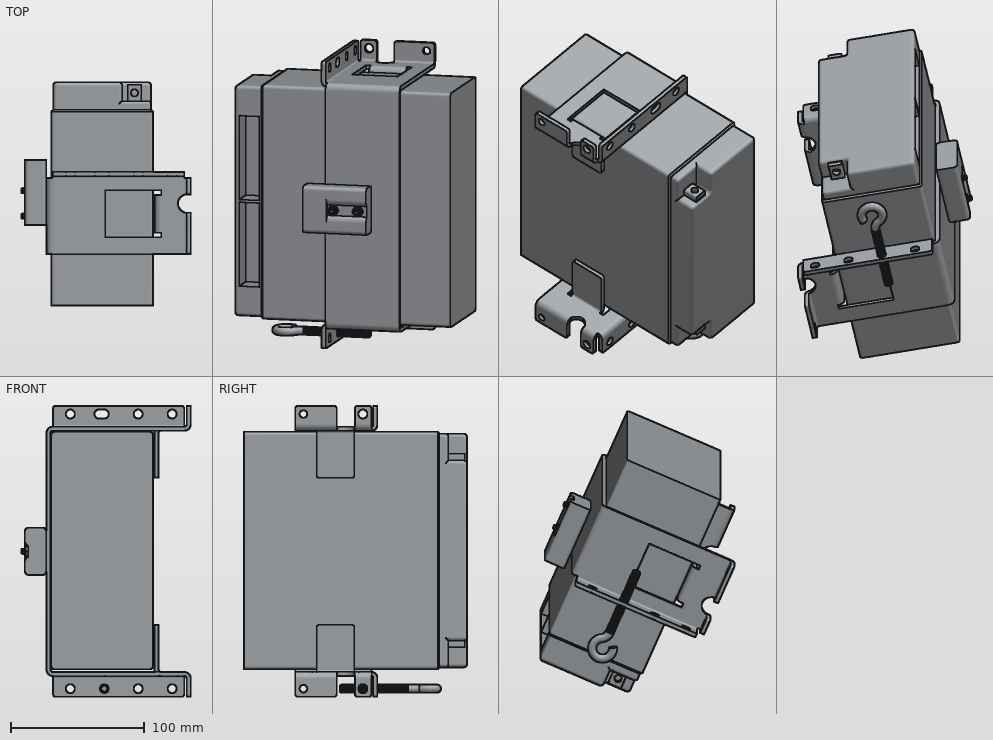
import cadquery as cq
import math


OVERALL_DEPTH = 127.0

SHEET = 3.2
BEND_RADIUS = 1.75
BEND_OUTER = BEND_RADIUS + SHEET
RAIL_BEND_RADIUS = 1.2
BRACKET_DEPTH = 108.1
BRACKET_HEIGHT = 217.74
EAR_HEIGHT = 15.5
ARM_TOP = BRACKET_HEIGHT / 2 - EAR_HEIGHT
BRACKET_WIDTH = 57.15
BRACKET_FRONT = 38.4
BRACKET_BACK = BRACKET_FRONT + BRACKET_WIDTH
EAR_CORNER = 2.0
HOLE_INSET = 6.15
EAR_HOLE_DIAMETER = 6.6
SMALL_HOLE_DIAMETER = 5.5
RAIL_HOLE_FIRST = 17.9
RAIL_HOLE_PITCH = 25.4
RAIL_HOLE_COUNT = 4
SLOTTED_HOLE = 1
SLOT_STRETCH = 4.0
NOTCH_WIDTH = 13.5
NOTCH_Y = 76.3
NOTCH_BOTTOM = 98.5
SIDE_HOLE_BACK = BRACKET_BACK - 6.5
SIDE_HOLE_FRONT = BRACKET_FRONT + 6.2
WINDOW_LEFT = 44.0
WINDOW_RIGHT = 85.75
WINDOW_WIDTH = 35.0
WINDOW_Y = 68.6
TONGUE_WIDTH = 28.4
TONGUE_DROP = 38.4

CASE_WIDTH = 76.2
CASE_HEIGHT = 177.8
CASE_LENGTH = 146.4
CASE_LEFT = 3.6
CASE_MIDDLE_Z = 0.6
CASE_MIDDLE_X = CASE_LEFT + CASE_WIDTH / 2
BATTERY_LENGTH = 167.13
CASE_RADIUS = 2.5
CASE_BACK_CHAMFER = 1.4
LID_INSET = 1.4
LID_RADIUS = 2.7
LID_WIDTH = CASE_WIDTH - 2 * LID_INSET
LID_HEIGHT = CASE_HEIGHT - 2 * LID_INSET
LID_RIGHT = CASE_MIDDLE_X + LID_WIDTH / 2
LID_LEFT = CASE_MIDDLE_X - LID_WIDTH / 2
POCKET_Y = 155.8
POCKET_WIDTH = 15.3
POCKET_SPAN = 129.5
POCKET_WEB = 2.0
POCKET_HEIGHT = (POCKET_SPAN - POCKET_WEB) / 2
POCKET_DEPTH = 20.0
RECESS_LEFT = 56.7
RECESS_FRONT = 153.0
RECESS_DEPTH = 20.0
RECESS_LIP_RADIUS = 2.35
TERMINAL_X = 65.9
TERMINAL_WIDTH = 10.4
TERMINAL_LENGTH = 12.2
TERMINAL_HEIGHT = 5.0
TERMINAL_RADIUS = 1.5
TERMINAL_HOLE_DIAMETER = 5.4

BLOCK_DEPTH = 16.2
BLOCK_HEIGHT = 35.5
BLOCK_FRONT = 60.1
BLOCK_LENGTH = 48.8
BLOCK_RADIUS = 3.0
GROOVE_LENGTH = 30.5
GROOVE_DEPTH = 2.7
GROOVE_FLOOR = 8.0
GROOVE_MOUTH = 16.8

THREAD_DEPTH_PER_PITCH = 0.6
STUD_DIAMETER = 4.0
STUD_PITCH = 0.7
STUD_EMBEDDED = 6.0
STUD_TIP_X = BRACKET_DEPTH - OVERALL_DEPTH
STUD_FIRST_Y = 66.9
STUD_SPACING = 19.05
STUD_COUNT = 2
STUD_YS = [STUD_FIRST_Y + i * STUD_SPACING for i in range(STUD_COUNT)]
NUT_FLATS = 7.0
NUT_HEIGHT = 2.2
NUT_FACE_DIAMETER = 6.4
NUT_CORNERS = NUT_FLATS / math.cos(math.pi / 6)
GROOVE_FLOOR_X = GROOVE_DEPTH - BLOCK_DEPTH

BOLT_DIAMETER = 6.35
BOLT_PITCH = 1.0
BOLT_FRONT = 71.9
THREAD_END = 123.1
EYE_RADIUS = 7.8
NECK_TURN = math.radians(60)
EYE_CENTRE_Y = THREAD_END + 2 * EYE_RADIUS * math.sin(NECK_TURN)
BOLT_X = RAIL_HOLE_FIRST + SLOTTED_HOLE * RAIL_HOLE_PITCH
BOLT_Z = HOLE_INSET - BRACKET_HEIGHT / 2
EYE_END_ANGLE = math.radians(-30)


def box(x0, x1, y0, y1, z0, z1):
    return cq.Workplane("XY").box(x1 - x0, y1 - y0, z1 - z0, centered=False).translate((x0, y0, z0))


def bent_strip(origin, outward, sideways, width, reach, corner_radius=0.0, inner=BEND_RADIUS):
    """A bend followed by a flat strip.

    The bend starts on the sheet's inner face at `origin`, heads `outward` and turns a right angle.
    The strip ends `reach` away from that face; `sideways` is the direction of its width.
    """
    mid = math.sqrt(0.5)
    outer = inner + SHEET
    profile = (
        cq.Workplane("XY")
        .moveTo(0, 0)
        .threePointArc((inner * mid, inner * (1 - mid)), (inner, inner))
        .lineTo(inner, reach)
        .lineTo(outer, reach)
        .lineTo(outer, inner)
        .threePointArc((outer * mid, inner - outer * mid), (0, -SHEET))
        .close()
    )
    strip = profile.extrude(width)
    if corner_radius:
        strip = strip.faces(">Y").edges("|X").fillet(corner_radius)
    place = cq.Location(cq.Plane(origin=origin, xDir=outward, normal=sideways))
    return cq.Workplane(strip.val().moved(place))


def bracket_half():
    """The upper half: one arm with its ears and tongue, and half of the base."""
    flat_end = BRACKET_DEPTH - BEND_OUTER
    hole_z = BRACKET_HEIGHT / 2 - HOLE_INSET
    arm_inner = ARM_TOP - SHEET

    arm = box(BEND_OUTER, flat_end, BRACKET_FRONT, BRACKET_BACK, arm_inner, ARM_TOP)
    arm = arm.cut(
        box(WINDOW_LEFT, WINDOW_RIGHT, WINDOW_Y - WINDOW_WIDTH / 2, WINDOW_Y + WINDOW_WIDTH / 2,
            arm_inner, ARM_TOP)
    )
    base = bent_strip((BEND_OUTER, BRACKET_BACK, arm_inner), (-1, 0, 0), (0, -1, 0),
                      BRACKET_WIDTH, arm_inner)
    tongue = bent_strip((WINDOW_RIGHT, WINDOW_Y + TONGUE_WIDTH / 2, arm_inner), (-1, 0, 0), (0, -1, 0),
                        TONGUE_WIDTH, TONGUE_DROP - SHEET, EAR_CORNER)
    rail_ear = bent_strip((BEND_OUTER, BRACKET_BACK, ARM_TOP), (0, 1, 0), (1, 0, 0),
                          flat_end - BEND_OUTER, EAR_HEIGHT, EAR_CORNER, RAIL_BEND_RADIUS)
    half = arm.union(base).union(tongue).union(rail_ear)

    notch_back = NOTCH_Y + NOTCH_WIDTH / 2
    notch_front = NOTCH_Y - NOTCH_WIDTH / 2
    side_ears = [
        (BRACKET_BACK, notch_back, SIDE_HOLE_BACK, EAR_HOLE_DIAMETER),
        (notch_front, BRACKET_FRONT, SIDE_HOLE_FRONT, SMALL_HOLE_DIAMETER),
    ]
    for back, front, hole_y, diameter in side_ears:
        ear = bent_strip((flat_end, back, ARM_TOP), (1, 0, 0), (0, -1, 0),
                         back - front, EAR_HEIGHT, EAR_CORNER)
        hole = (
            cq.Workplane("YZ", origin=(flat_end, hole_y, hole_z))
            .circle(diameter / 2)
            .extrude(BEND_OUTER)
        )
        half = half.union(ear.cut(hole))

    notch_centre = NOTCH_BOTTOM + NOTCH_WIDTH / 2
    notch = (
        cq.Workplane("XY", origin=(notch_centre, NOTCH_Y, arm_inner))
        .circle(NOTCH_WIDTH / 2)
        .extrude(SHEET)
    )
    return half.cut(notch)


def rail_holes(z):
    """Cutters for the row of round holes through a rail ear."""
    middle = RAIL_HOLE_FIRST + (RAIL_HOLE_COUNT - 1) * RAIL_HOLE_PITCH / 2
    return (
        cq.Workplane("XZ", origin=(middle, BRACKET_BACK, z))
        .rarray(RAIL_HOLE_PITCH, 1, RAIL_HOLE_COUNT, 1)
        .circle(EAR_HOLE_DIAMETER / 2)
        .extrude(-BEND_OUTER)
    )


def make_bracket():
    upper = bracket_half()
    bracket = upper.union(upper.mirror("XY"))
    hole_z = BRACKET_HEIGHT / 2 - HOLE_INSET
    for z in (hole_z, -hole_z):
        bracket = bracket.cut(rail_holes(z))
    slot_x = RAIL_HOLE_FIRST + SLOTTED_HOLE * RAIL_HOLE_PITCH - SLOT_STRETCH / 2
    slot = (
        cq.Workplane("XZ", origin=(slot_x, BRACKET_BACK, hole_z))
        .slot2D(SLOT_STRETCH + EAR_HOLE_DIAMETER, EAR_HOLE_DIAMETER)
        .extrude(-BEND_OUTER)
    )
    return bracket.cut(slot)


def terminal_recess():
    """Cutter for the upper lid corner, rounded along the foot of its left wall."""
    top = LID_HEIGHT / 2
    recess = box(RECESS_LEFT, LID_RIGHT, RECESS_FRONT, BATTERY_LENGTH, top - RECESS_DEPTH, top)
    return recess.edges("|Y and <X and <Z").fillet(LID_RADIUS)


def terminal():
    """A raised terminal standing on the recess floor, rounded along its top and drilled."""
    floor = LID_HEIGHT / 2 - RECESS_DEPTH
    left = TERMINAL_X - TERMINAL_WIDTH / 2
    post = box(left, left + TERMINAL_WIDTH, RECESS_FRONT, RECESS_FRONT + TERMINAL_LENGTH,
               floor, floor + TERMINAL_HEIGHT)
    post = post.faces(">Z").edges("|Y").fillet(TERMINAL_RADIUS)
    top = post.faces(">Z").workplane(centerOption="CenterOfMass")
    return top.hole(TERMINAL_HOLE_DIAMETER, TERMINAL_HEIGHT)


def make_battery():
    """Built about Z = 0 and then raised to its height in the bracket."""
    case = box(CASE_LEFT, CASE_LEFT + CASE_WIDTH, 0, CASE_LENGTH, -CASE_HEIGHT / 2, CASE_HEIGHT / 2)
    case = case.edges("|Y").fillet(CASE_RADIUS)
    case = case.faces(">Y").edges().chamfer(CASE_BACK_CHAMFER)

    lid = box(LID_LEFT, LID_RIGHT, CASE_LENGTH, BATTERY_LENGTH, -LID_HEIGHT / 2, LID_HEIGHT / 2)
    recess = terminal_recess()
    lid = lid.cut(recess).cut(recess.mirror("XY"))
    lid = lid.edges("|Y").edges("<X or >X or >Z or <Z").fillet(LID_RADIUS)
    recess_walls = lid.faces("|Y").faces("<Y[1]").edges("|X").edges(">Z or <Z")
    lid = recess_walls.fillet(RECESS_LIP_RADIUS)
    lid = lid.faces(">Y").edges().fillet(LID_RADIUS)

    for side in (1, -1):
        middle = side * (POCKET_WEB + POCKET_HEIGHT) / 2
        lid = lid.cut(
            box(LID_LEFT, LID_LEFT + POCKET_DEPTH,
                POCKET_Y - POCKET_WIDTH / 2, POCKET_Y + POCKET_WIDTH / 2,
                middle - POCKET_HEIGHT / 2, middle + POCKET_HEIGHT / 2)
        )
    post = terminal()
    battery = case.union(lid).union(post).union(post.mirror("XY"))
    return battery.translate((0, 0, CASE_MIDDLE_Z))


def make_block():
    block = box(-BLOCK_DEPTH, 0, BLOCK_FRONT, BLOCK_FRONT + BLOCK_LENGTH,
                -BLOCK_HEIGHT / 2, BLOCK_HEIGHT / 2)
    block = block.edges("|Y").fillet(BLOCK_RADIUS)

    run = (GROOVE_MOUTH - GROOVE_FLOOR) / 2
    radius = (run ** 2 + GROOVE_DEPTH ** 2) / (2 * GROOVE_DEPTH)
    groove = (
        cq.Workplane("XZ", origin=(-BLOCK_DEPTH, BLOCK_FRONT, 0))
        .moveTo(0, GROOVE_MOUTH / 2)
        .radiusArc((GROOVE_DEPTH, GROOVE_FLOOR / 2), -radius)
        .lineTo(GROOVE_DEPTH, -GROOVE_FLOOR / 2)
        .radiusArc((0, -GROOVE_MOUTH / 2), -radius)
        .close()
        .extrude(-GROOVE_LENGTH)
    )
    block = block.cut(groove)
    for y in STUD_YS:
        block = block.cut(
            cq.Workplane("YZ", origin=(GROOVE_FLOOR_X, y, 0))
            .circle(STUD_DIAMETER / 2)
            .extrude(STUD_EMBEDDED)
        )
    return block


def threaded_rod(diameter, pitch, length):
    """A rod along +Y from the origin with ring-shaped thread ridges and a chamfered start."""
    crest = diameter / 2
    root = crest - THREAD_DEPTH_PER_PITCH * pitch
    turns = math.floor(length / pitch)
    profile = cq.Workplane("XY").moveTo(0, 0).lineTo(root, 0)
    for turn in range(turns):
        profile = profile.lineTo(crest, (turn + 0.5) * pitch).lineTo(root, (turn + 1) * pitch)
    profile = profile.lineTo(root, length).lineTo(0, length).close()
    rod = profile.revolve(360, (0, 0, 0), (0, 1, 0))
    envelope = cq.Workplane("XZ").circle(crest).extrude(-length).faces("<Y").chamfer(pitch)
    return rod.intersect(envelope)


def make_stud(y):
    length = GROOVE_FLOOR_X + STUD_EMBEDDED - STUD_TIP_X
    rod = threaded_rod(STUD_DIAMETER, STUD_PITCH, length)
    return rod.rotate((0, 0, 0), (0, 0, 1), -90).translate((STUD_TIP_X, y, 0))


def make_nut(y):
    """A hexagon nut on the groove floor with its outer corners turned off to a round face."""
    nut = (
        cq.Workplane("YZ", origin=(GROOVE_FLOOR_X - NUT_HEIGHT, y, 0))
        .polygon(6, NUT_CORNERS)
        .circle(STUD_DIAMETER / 2)
        .extrude(NUT_HEIGHT)
    )
    bevel = (NUT_CORNERS - NUT_FACE_DIAMETER) / 2 * math.tan(math.pi / 6)
    turned = (
        cq.Workplane("XY")
        .lineTo(0, NUT_FACE_DIAMETER / 2)
        .lineTo(bevel, NUT_CORNERS / 2)
        .lineTo(NUT_HEIGHT, NUT_CORNERS / 2)
        .lineTo(NUT_HEIGHT, 0)
        .close()
        .revolve(360, (0, 0, 0), (1, 0, 0))
        .translate((GROOVE_FLOOR_X - NUT_HEIGHT, y, 0))
    )
    return nut.intersect(turned)


def make_eye_bolt():
    """A threaded shank whose plain end swings to -X and curls round into an eye."""
    shank = threaded_rod(BOLT_DIAMETER, BOLT_PITCH, THREAD_END - BOLT_FRONT)
    shank = shank.translate((0, BOLT_FRONT, 0))

    def on_eye(angle):
        return (EYE_RADIUS * math.cos(angle), EYE_CENTRE_Y + EYE_RADIUS * math.sin(angle))

    neck_middle = (EYE_RADIUS * (math.cos(NECK_TURN / 2) - 1),
                   THREAD_END + EYE_RADIUS * math.sin(NECK_TURN / 2))
    path = (
        cq.Workplane("XY")
        .moveTo(0, THREAD_END)
        .threePointArc(neck_middle, on_eye(math.pi + NECK_TURN))
        .threePointArc(on_eye(math.pi + NECK_TURN / 2), on_eye(math.pi))
        .threePointArc(on_eye((math.pi + EYE_END_ANGLE) / 2), on_eye(EYE_END_ANGLE))
    )
    eye = (
        cq.Workplane("XZ", origin=(0, THREAD_END, 0))
        .circle(BOLT_DIAMETER / 2)
        .sweep(path)
    )
    return shank.union(eye).translate((BOLT_X, 0, BOLT_Z))


bracket = make_bracket()
battery = make_battery()
block = make_block()
studs = [make_stud(y) for y in STUD_YS]
nuts = [make_nut(y) for y in STUD_YS]
eye_bolt = make_eye_bolt()

result = cq.Compound.makeCompound(
    [bracket.val(), battery.val(), block.val(), eye_bolt.val()]
    + [stud.val() for stud in studs]
    + [nut.val() for nut in nuts]
)